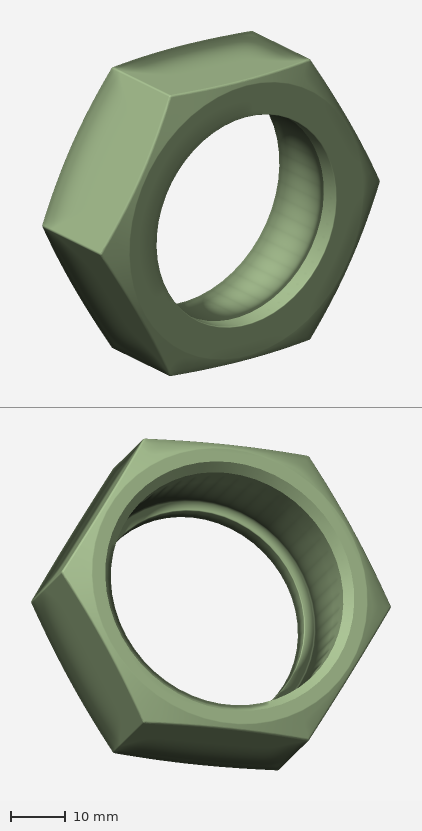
import cadquery as cq
import math

across_flats = 55.0
width = 22.0
edge_radius = 0.475

face_radius = 26.5
corner_chamfer_depth = 1.9

bore_radius = 22.35
countersink = 1.6
ledge_depth = 18.05
bore_corner_radius = 0.3
hole_radius = 20.3
hole_edge_radius = 0.2

across_corners = across_flats / math.cos(math.pi / 6)
corner_radius = across_corners / 2
half_width = width / 2

arc_middle = 1 - math.sqrt(0.5)


def revolve_about_x(profile):
    """Turn a closed XZ profile a full revolution about the X axis."""
    return profile.close().revolve(360, (0, 0, 0), (1, 0, 0))


def hexagon():
    """Hexagonal prism centred on the origin."""
    return cq.Workplane("YZ").polygon(6, across_corners).extrude(half_width, both=True)


def chamfer_envelope():
    """Double cone whose ends cut the hexagon corners back."""
    cone_rise_per_depth = (corner_radius - face_radius) / corner_chamfer_depth
    middle_radius = face_radius + cone_rise_per_depth * half_width
    profile = cq.Workplane("XZ").polyline([
        (-half_width, 0),
        (-half_width, face_radius),
        (0, middle_radius),
        (half_width, face_radius),
        (half_width, 0),
    ])
    return revolve_about_x(profile)


def stepped_bore():
    """Countersunk bore, ledge and through hole as one turned cutter."""
    ledge = ledge_depth - half_width
    rim_radius = hole_radius + hole_edge_radius
    bore_arc = bore_corner_radius * arc_middle
    rim_arc = hole_edge_radius * arc_middle
    profile = (
        cq.Workplane("XZ")
        .moveTo(-half_width, 0)
        .lineTo(-half_width, bore_radius + countersink)
        .lineTo(-half_width + countersink, bore_radius)
        .lineTo(ledge - bore_corner_radius, bore_radius)
        .threePointArc(
            (ledge - bore_arc, bore_radius - bore_arc),
            (ledge, bore_radius - bore_corner_radius),
        )
        .lineTo(ledge, rim_radius)
        .threePointArc(
            (ledge + rim_arc, hole_radius + rim_arc),
            (ledge + hole_edge_radius, hole_radius),
        )
        .lineTo(half_width - hole_edge_radius, hole_radius)
        .threePointArc(
            (half_width - rim_arc, hole_radius + rim_arc),
            (half_width, rim_radius),
        )
        .lineTo(half_width, 0)
    )
    return revolve_about_x(profile)


body = hexagon().intersect(chamfer_envelope())
rounded_body = body.edges().fillet(edge_radius)
result = rounded_body.cut(stepped_bore())